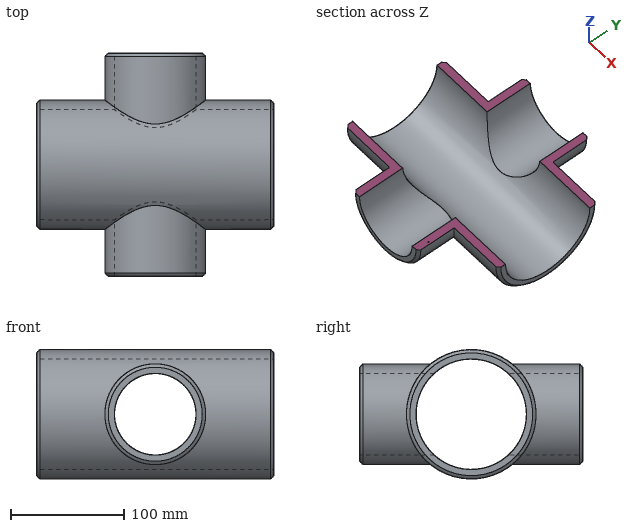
import cadquery as cq

run_length = 209.3
run_outer_diameter = 114.3
branch_span = 197.1
branch_outer_diameter = 88.9
wall_thickness = 8.56
end_chamfer = 3.0


def centred_cylinder(plane, diameter, length):
    """Solid cylinder centred on the origin, along the normal of the plane."""
    return cq.Workplane(plane).circle(diameter / 2).extrude(length / 2, both=True)


def chamfered_bar(plane, diameter, length):
    """Centred cylinder with the outer rim of both ends bevelled."""
    return centred_cylinder(plane, diameter, length).edges("%CIRCLE").chamfer(end_chamfer)


def bore(plane, outer_diameter, length):
    """Through bore that leaves the wall thickness inside the outer diameter."""
    return centred_cylinder(plane, outer_diameter - 2 * wall_thickness, length)


run = chamfered_bar("YZ", run_outer_diameter, run_length)
branches = chamfered_bar("XZ", branch_outer_diameter, branch_span)
run_bore = bore("YZ", run_outer_diameter, run_length)
branch_bore = bore("XZ", branch_outer_diameter, branch_span)

result = run.union(branches).cut(run_bore).cut(branch_bore)